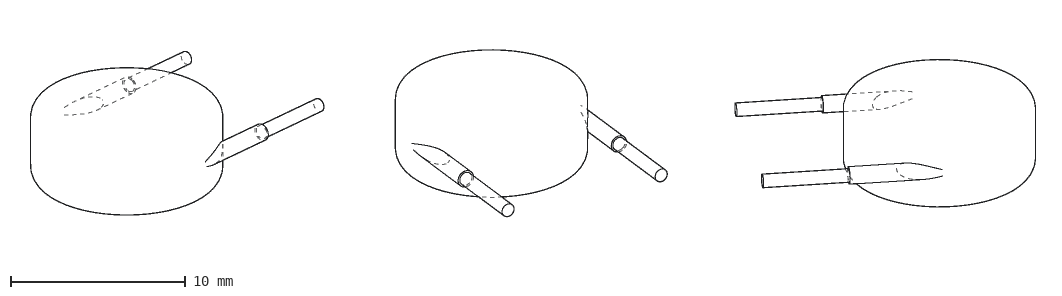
import cadquery as cq

overall_length = 16.5
body_diameter = 11.0
body_height = 5.0
edge_radius = 1.0
sleeve_diameter = 1.0
sleeve_length = 6.0
wire_diameter = 0.8

body_radius = body_diameter / 2
wire_length = overall_length - body_radius
lead_offset = body_radius - sleeve_diameter / 2


def make_body():
    """Round disc with rounded top and bottom edges."""
    disc = cq.Workplane("XY").cylinder(body_height, body_radius)
    return disc.edges("%CIRCLE").fillet(edge_radius)


def rod_along_y(x, diameter, length):
    """Cylinder from the body's centre plane toward +Y."""
    axis_start = cq.Vector(x, 0, 0)
    axis_direction = cq.Vector(0, 1, 0)
    return cq.Workplane(cq.Solid.makeCylinder(diameter / 2, length, axis_start, axis_direction))


def make_lead(x):
    """Bare wire emerging from a thicker insulating sleeve."""
    sleeve = rod_along_y(x, sleeve_diameter, sleeve_length)
    wire = rod_along_y(x, wire_diameter, wire_length)
    return sleeve.union(wire)


result = make_body()
for side in (-1, 1):
    result = result.union(make_lead(side * lead_offset))